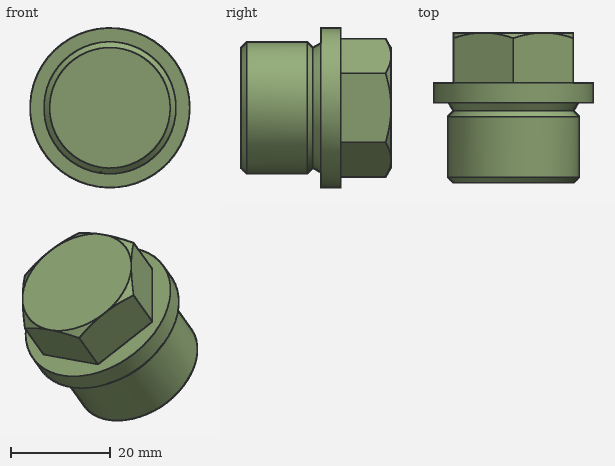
import cadquery as cq
import math

flange_diameter = 32.0
flange_thickness = 4.0
shank_diameter = 26.43
shank_length = 16.0
shank_chamfer = 1.15
groove_diameter = 24.13
groove_angle = 30.0
groove_run = 1.6
hex_across_flats = 24.0
hex_height = 10.0
hex_chamfer_angle = 30.0

flange_radius = flange_diameter / 2
shank_radius = shank_diameter / 2
groove_radius = groove_diameter / 2
groove_root_radius = groove_radius + groove_run * math.tan(math.radians(groove_angle))
groove_end = groove_run + shank_radius - groove_radius
hex_across_corners = hex_across_flats / math.cos(math.radians(30))
hex_back = flange_thickness + hex_height


def revolve_about_y(profile):
    """Revolve a closed (radius, Y) outline about the plug axis."""
    return cq.Workplane("XY").polyline(profile).close().revolve(360, (0, 0, 0), (0, 1, 0))


def flange_and_shank():
    return revolve_about_y([
        (0, flange_thickness),
        (flange_radius, flange_thickness),
        (flange_radius, 0),
        (groove_root_radius, 0),
        (groove_radius, -groove_run),
        (shank_radius, -groove_end),
        (shank_radius, shank_chamfer - shank_length),
        (shank_radius - shank_chamfer, -shank_length),
        (0, -shank_length),
    ])


def hex_head():
    prism = (
        cq.Workplane("XZ", origin=(0, hex_back, 0))
        .transformed(rotate=(0, 0, 90))
        .polygon(6, hex_across_corners)
        .extrude(hex_height)
    )
    end_radius = hex_across_flats / 2
    trim_drop = (flange_radius - end_radius) * math.tan(math.radians(hex_chamfer_angle))
    trim = revolve_about_y([
        (0, flange_thickness),
        (flange_radius, flange_thickness),
        (flange_radius, hex_back - trim_drop),
        (end_radius, hex_back),
        (0, hex_back),
    ])
    return prism.intersect(trim)


result = flange_and_shank().union(hex_head())